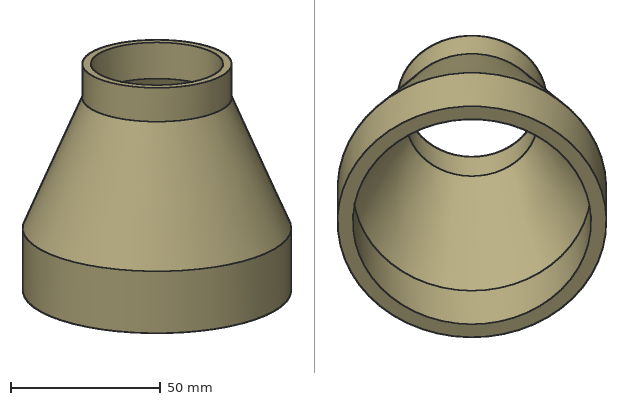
import cadquery as cq

base_diameter = 90.0
collar_diameter = 50.0
base_wall = 5.1
collar_wall = 2.9
total_height = 80.0
base_height = 22.0
collar_height = 12.0
collar_bore_depth = 12.8


def stepped_cone(base_radius, collar_radius, collar_length):
    """Solid of revolution: straight base, cone and straight collar along Z."""
    cone_top = total_height - collar_length
    return (
        cq.Workplane("XZ")
        .moveTo(0, 0)
        .lineTo(base_radius, 0)
        .lineTo(base_radius, base_height)
        .lineTo(collar_radius, cone_top)
        .lineTo(collar_radius, total_height)
        .lineTo(0, total_height)
        .close()
        .revolve(360, (0, 0, 0), (0, 1, 0))
    )


base_radius = base_diameter / 2
collar_radius = collar_diameter / 2

outside = stepped_cone(base_radius, collar_radius, collar_height)

bore = stepped_cone(base_radius - base_wall, collar_radius - collar_wall, collar_bore_depth)

result = outside.cut(bore)